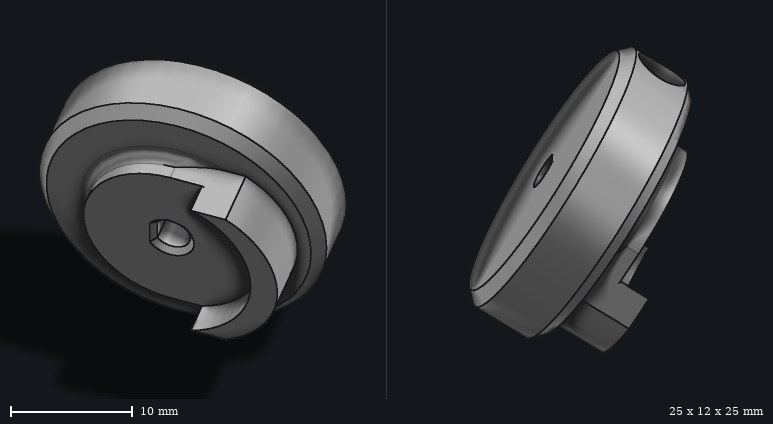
import cadquery as cq
import math

disc_radius = 12.5
disc_thickness = 7.0
rim_chamfer = 1.0

boss_radius = 7.5
boss_height = 2.2
boss_fillet = 1.0

lug_height = 5.0
lug_outer_radius = 8.5
lug_outer_center = 1.82
lug_inner_radius = 8.0

bore_radius = 1.6
bore_flat = 1.25
bore_chamfer = 0.5

screw_radius = 1.25
screw_head_radius = 2.25
screw_head_seat = 10.0


def front_plane(distance):
    """Workplane facing -Y, the given distance in front of the back face."""
    return cq.Workplane("XZ", origin=(0, -distance, 0))


def d_profile(plane, radius, flat):
    """Circle cut by a flat on its -X side."""
    half_flat = math.sqrt(radius**2 - flat**2)
    return (
        plane.moveTo(-flat, -half_flat)
        .threePointArc((radius, 0), (-flat, half_flat))
        .close()
    )


def make_disc():
    disc = cq.Workplane("XZ").circle(disc_radius).extrude(disc_thickness)
    return disc.faces("<Y or >Y").chamfer(rim_chamfer)


def make_round_boss():
    """Boss with a concave fillet where it meets the disc."""
    foot_radius = boss_radius + boss_fillet
    fillet_end = disc_thickness + boss_fillet
    inset = boss_fillet * (1 - math.sqrt(0.5))
    return (
        cq.Workplane("XY")
        .moveTo(0, -disc_thickness)
        .lineTo(foot_radius, -disc_thickness)
        .threePointArc(
            (boss_radius + inset, -disc_thickness - inset),
            (boss_radius, -fillet_end),
        )
        .lineTo(boss_radius, -disc_thickness - boss_height)
        .lineTo(0, -disc_thickness - boss_height)
        .close()
        .revolve(360, (0, 0, 0), (0, 1, 0))
    )


def make_lug():
    """Flat-sided extension of the boss, hollowed above the boss face."""
    corner = lug_outer_center + math.sqrt(lug_outer_radius**2 - boss_radius**2)
    tip = lug_outer_center + lug_outer_radius
    lug = (
        front_plane(disc_thickness)
        .moveTo(0, -boss_radius)
        .lineTo(corner, -boss_radius)
        .threePointArc((tip, 0), (corner, boss_radius))
        .lineTo(0, boss_radius)
        .close()
        .extrude(lug_height)
    )
    recess = (
        front_plane(disc_thickness + boss_height)
        .circle(lug_inner_radius)
        .extrude(lug_height - boss_height)
    )
    return lug.cut(recess)


def make_bore():
    """Through bore with a flat, chamfered at the boss face."""
    boss_face = disc_thickness + boss_height
    bore = d_profile(cq.Workplane("XZ"), bore_radius, bore_flat).extrude(boss_face)
    mouth = d_profile(front_plane(boss_face - bore_chamfer), bore_radius, bore_flat)
    mouth = d_profile(
        mouth.workplane(offset=bore_chamfer, origin=(0, bore_chamfer - boss_face, 0)),
        bore_radius + bore_chamfer,
        bore_flat + bore_chamfer,
    ).loft(ruled=True)
    return bore.union(mouth)


def make_screw_hole():
    """Counterbored radial hole from the -X side into the bore."""
    start = cq.Workplane("YZ", origin=(-disc_radius, -disc_thickness / 2, 0))
    shank = start.circle(screw_radius).extrude(disc_radius)
    head = start.circle(screw_head_radius).extrude(disc_radius - screw_head_seat)
    return shank.union(head)


result = (
    make_disc()
    .union(make_round_boss())
    .union(make_lug())
    .cut(make_bore())
    .cut(make_screw_hole())
)